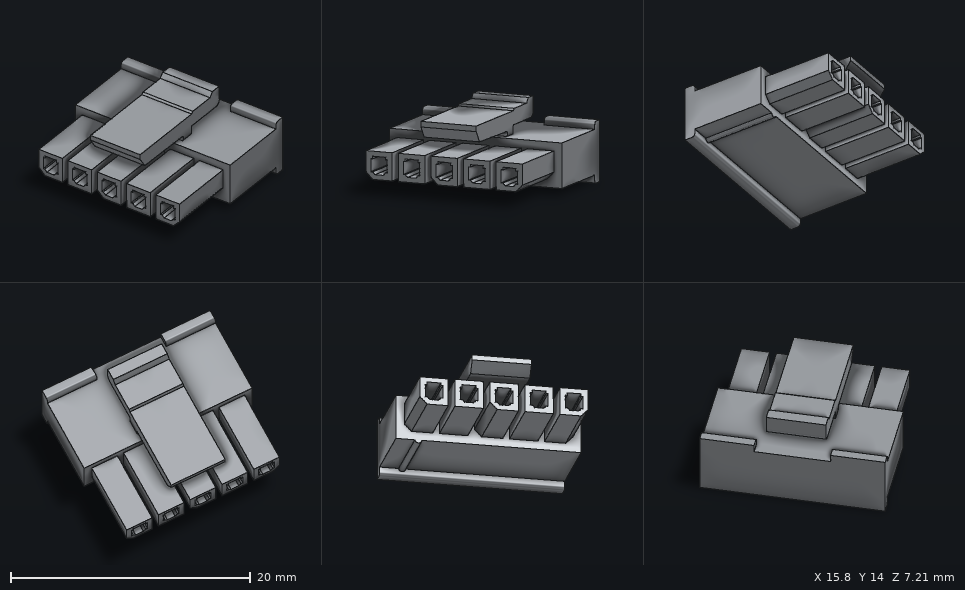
import cadquery as cq
import math


width = 15.85
body_depth = 7.65
body_bottom = 0.75
body_top = 4.65

flange_depth = 1.0
flange_top = 5.31
flange_round = 0.3
flange_piece_width = 4.66

key_width = 0.62
key_height = 0.25

socket_count = 5
socket_pitch = 3.0
socket_size = 2.43
socket_length = 6.34
socket_center_z = 2.7
socket_chamfer = 0.62
chamfered_corners = {0: "left", 2: "left", 4: "right"}

opening_width = 1.49
opening_height = 1.55
tall_slot_width = 1.17
wide_slot_height = 1.11
opening_depth = socket_length

latch_width = 5.09
latch_rear = -1.57
latch_length = 11.54
latch_top = 7.21
grip_length = 1.01
grip_slope_length = 0.35
middle_top = 6.78
step_start = 3.87
step_slope_length = 0.17
arm_top = 6.61
arm_bottom = 5.07
tail_bottom = 5.4
tail_round = 0.52
nose_bottom = 5.15
nose_slope_length = 0.67
nose_slope_top = 6.13

neck_rear = 4.07
neck_rear_round = 0.11
neck_front = 5.23
neck_front_round = 0.22

body_height = body_top - body_bottom
first_socket_x = -socket_pitch * (socket_count - 1) / 2


def make_body():
    return cq.Workplane("XY").box(
        width, body_depth, body_height, centered=(True, False, False)
    ).translate((0, -body_depth, body_bottom))


def make_flange():
    """Rear flange with rounded front edges and a gap in its upper lip."""
    flange = (
        cq.Workplane("XY")
        .box(width, flange_depth, flange_top, centered=(True, False, False))
        .translate((0, -flange_depth, 0))
        .edges("|X and <Y")
        .fillet(flange_round)
    )
    gap = cq.Workplane("XY").box(
        width - 2 * flange_piece_width,
        flange_depth,
        flange_top - body_top,
        centered=(True, False, False),
    ).translate((0, -flange_depth, body_top))
    return flange.cut(gap)


def make_key():
    """Rib with an arc-shaped underside, running the length of the block."""
    return (
        cq.Workplane("XZ")
        .moveTo(first_socket_x - key_width / 2, body_bottom)
        .threePointArc(
            (first_socket_x, body_bottom - key_height),
            (first_socket_x + key_width / 2, body_bottom),
        )
        .close()
        .extrude(body_depth)
    )


def make_socket(index):
    """Square socket, some with one lower corner cut off as polarisation."""
    center_x = first_socket_x + index * socket_pitch
    socket = (
        cq.Workplane("XZ", origin=(center_x, -body_depth, socket_center_z))
        .rect(socket_size, socket_size)
        .extrude(socket_length)
    )
    corner = chamfered_corners.get(index)
    if corner == "left":
        socket = socket.edges("|Y and <X and <Z").chamfer(socket_chamfer)
    elif corner == "right":
        socket = socket.edges("|Y and >X and <Z").chamfer(socket_chamfer)
    return socket


def make_opening(index):
    """Blind contact opening, cut back from the front end of a socket."""
    center_x = first_socket_x + index * socket_pitch
    front = cq.Workplane("XZ", origin=(center_x, -body_depth - socket_length, socket_center_z))
    wide_slot = front.rect(opening_width, wide_slot_height).extrude(-opening_depth)
    tall_slot = (
        front.rect(tall_slot_width, opening_height)
        .extrude(-opening_depth)
        .edges("|Y and <Z")
        .chamfer((opening_height - wide_slot_height) / 2)
    )
    return wide_slot.union(tall_slot)


def make_latch():
    """Latch arm and neck, one side profile extruded across the latch width."""
    def at(forward, z):
        return (latch_rear - forward, z)

    diagonal = math.sqrt(0.5)
    tail_center_z = tail_bottom + tail_round
    neck_corner_forward = neck_rear - neck_rear_round
    neck_corner_z = tail_bottom - neck_rear_round
    hollow_forward = neck_front + neck_front_round
    hollow_z = arm_bottom - neck_front_round
    hollow_drop = hollow_z - body_top
    hollow_reach = math.sqrt(neck_front_round**2 - hollow_drop**2)

    return (
        cq.Workplane("YZ", origin=(-latch_width / 2, 0, 0))
        .moveTo(*at(0, latch_top))
        .lineTo(*at(grip_length, latch_top))
        .lineTo(*at(grip_length + grip_slope_length, middle_top))
        .lineTo(*at(step_start, middle_top))
        .lineTo(*at(step_start + step_slope_length, arm_top))
        .lineTo(*at(latch_length, arm_top))
        .lineTo(*at(latch_length, nose_slope_top))
        .lineTo(*at(latch_length - nose_slope_length, nose_bottom))
        .lineTo(*at(hollow_forward, arm_bottom))
        .threePointArc(
            at(neck_front, hollow_z),
            at(hollow_forward - hollow_reach, body_top),
        )
        .lineTo(*at(neck_rear, body_top))
        .lineTo(*at(neck_rear, neck_corner_z))
        .threePointArc(
            at(
                neck_corner_forward + neck_rear_round * diagonal,
                neck_corner_z + neck_rear_round * diagonal,
            ),
            at(neck_corner_forward, tail_bottom),
        )
        .lineTo(*at(tail_round, tail_bottom))
        .threePointArc(
            at(
                tail_round * (1 - diagonal),
                tail_center_z - tail_round * diagonal,
            ),
            at(0, tail_center_z),
        )
        .close()
        .extrude(latch_width)
    )


result = make_body().union(make_flange()).union(make_key()).union(make_latch())
for socket_index in range(socket_count):
    result = result.union(make_socket(socket_index)).cut(make_opening(socket_index))